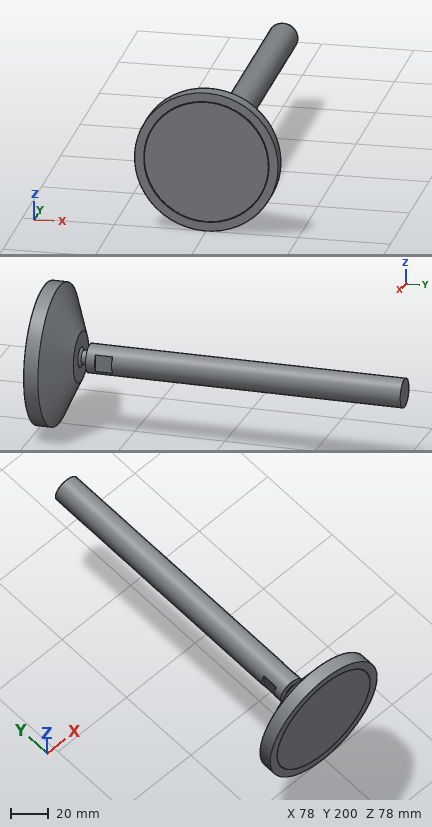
import cadquery as cq
import math


plate_diameter = 78.0
plate_rim_height = 8.0
plate_height = 20.0
plate_top_diameter = 28.0

groove_outer_diameter = 68.0
groove_inner_diameter = 67.5
groove_depth = 1.0

overall_length = 200.0
stem_diameter = 16.0
neck_diameter = 7.8
neck_gap = 5.0
stem_start = plate_height + neck_gap

flat_spacing = 13.0
flat_length = 9.5
flat_start = stem_start + 5.0

ball_radius = 7.5
neck_start = plate_height + 1.3
ball_centre = neck_start - math.sqrt(ball_radius**2 - (neck_diameter / 2) ** 2)


def cylinder_along_y(diameter, start, end):
    """Cylinder centred on the Y axis between two Y positions."""
    base = cq.Plane(origin=(0, start, 0), xDir=(1, 0, 0), normal=(0, 1, 0))
    return cq.Workplane(base).circle(diameter / 2).extrude(end - start)


def make_ball():
    return cq.Workplane("XY").sphere(ball_radius).translate((0, ball_centre, 0))


def make_plate():
    """Rimmed cone with a ball socket in its top and a ring groove in its underside."""
    half_profile = [
        (0, 0),
        (plate_diameter / 2, 0),
        (plate_diameter / 2, plate_rim_height),
        (plate_top_diameter / 2, plate_height),
        (0, plate_height),
    ]
    body = cq.Workplane("XY").polyline(half_profile).close().revolve(360, (0, 0, 0), (0, 1, 0))
    groove = cylinder_along_y(groove_outer_diameter, 0, groove_depth).cut(
        cylinder_along_y(groove_inner_diameter, 0, groove_depth)
    )
    return body.cut(groove).cut(make_ball())


def make_stem():
    """Rod with a neck, a ball end and two opposite wrench flats."""
    rod = cylinder_along_y(stem_diameter, stem_start, overall_length)
    flat_depth = (stem_diameter - flat_spacing) / 2
    for side in (-1, 1):
        notch = cq.Workplane("XY").box(flat_depth, flat_length, stem_diameter)
        notch_x = side * (flat_spacing + flat_depth) / 2
        rod = rod.cut(notch.translate((notch_x, flat_start + flat_length / 2, 0)))
    neck = cylinder_along_y(neck_diameter, ball_centre, stem_start)
    return rod.union(neck).union(make_ball())


plate = make_plate()
stem = make_stem()

result = cq.Compound.makeCompound([plate.val(), stem.val()])